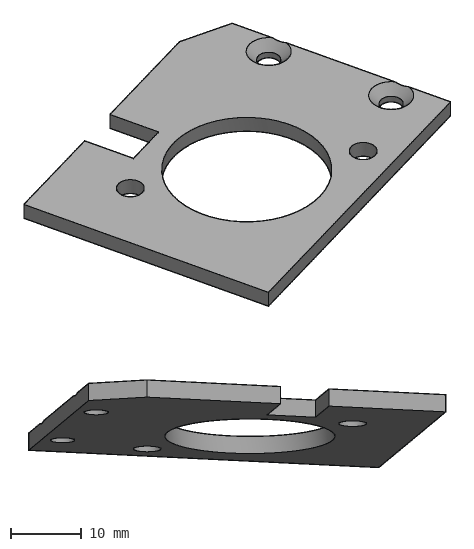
import cadquery as cq

width = 40.0
length = 50.85
thickness = 2.5

corner_run = 4.25
corner_drop = 7.4

notch_depth = 8.0
notch_bottom = 17.0
notch_height = 7.0
notch_top = notch_bottom + notch_height

bore_x = 23.1
bore_y = 22.85
bore_diameter = 24.0
mount_offset = bore_diameter / 2
mount_diameter = 3.9

screw_first_x = 12.0
screw_spacing = 20.05
screw_edge_distance = 3.0
screw_diameter = 3.4
countersink_diameter = 6.35
countersink_angle = 90

plate = (
    cq.Workplane("XY")
    .polyline([
        (0, 0),
        (width, 0),
        (width, length),
        (corner_run, length),
        (0, length - corner_drop),
        (0, notch_top),
        (notch_depth, notch_top),
        (notch_depth, notch_bottom),
        (0, notch_bottom),
    ])
    .close()
    .extrude(thickness)
)

top_plane = cq.Workplane("XY", origin=(0, 0, thickness))
bore_centre = (bore_x, bore_y)
mount_centres = [(bore_x + side * mount_offset, bore_y + side * mount_offset) for side in (-1, 1)]
screw_y = length - screw_edge_distance
screw_centres = [(screw_first_x + i * screw_spacing, screw_y) for i in range(2)]

bore = top_plane.pushPoints([bore_centre]).circle(bore_diameter / 2).extrude(-thickness)
mount_holes = top_plane.pushPoints(mount_centres).circle(mount_diameter / 2).extrude(-thickness)

result = (
    plate.cut(bore)
    .cut(mount_holes)
    .copyWorkplane(top_plane)
    .pushPoints(screw_centres)
    .cskHole(screw_diameter, countersink_diameter, countersink_angle)
)